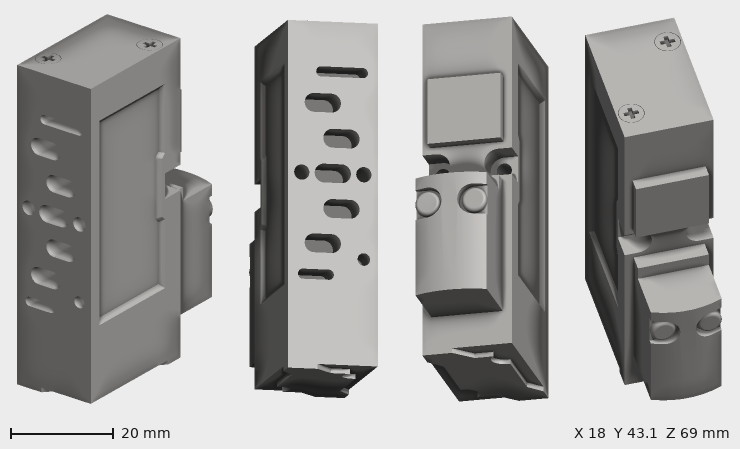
import cadquery as cq
import math


WIDTH = 18.0
DEPTH = 29.0
HEIGHT = 69.0
BASE_TOP = 4.0
PILOT_TOP = 14.0
LID_BOTTOM = 64.0
HALF_WIDTH = WIDTH / 2

PORT_CENTER_Z = 38.9
PORT_PITCH = 7.0
PORT_LENGTH = 7.25
PORT_HEIGHT = 3.7
LEFT_PORT_X = -2.0
RIGHT_PORT_X = 1.7
PORT_DEPTH = 7.0
GROOVE_HEIGHT = 2.0
GROOVE_SPACING = 20.15
TOP_GROOVE_X = 1.85
TOP_GROOVE_LENGTH = 10.35
LOW_GROOVE_X = -3.4
LOW_GROOVE_LENGTH = 7.2
PILOT_PORT_Z = 22.1
PILOT_PORT_DIAMETER = 2.5

MOUNT_X = 6.2
MOUNT_DIAMETER = 3.05
HEAD_RECESS_DIAMETER = 5.5
HEAD_RECESS_DEPTH = 5.05

PANEL_FRONT = 2.75
PANEL_REAR = 23.95
PANEL_BOTTOM = 16.9
PANEL_TOP = 61.05
PANEL_DEPTH = 0.8
PANEL_WALL_RUN = 1.05
PANEL_STEP = 0.9
PANEL_STEP_HALF_HEIGHT = 7.2

PAD_WIDTH = 14.8
PAD_DEPTH = 2.5
PAD_BOTTOM = 43.05
PAD_TOP = 56.5

CONNECTOR_WIDTH = 14.35
CONNECTOR_REAR = 43.05
CONNECTOR_BOTTOM = 7.8
CONNECTOR_TOP = 32.15
CONNECTOR_FACE_RADIUS = 18.0
SHOULDER_DEPTH = 3.1
SHOULDER_TOP = 35.05

KNOB_Z = 26.55
KNOB_RADIUS = 2.5
KNOB_EDGE_RADIUS = 0.7
KNOB_REAR = 42.2
KNOB_X = CONNECTOR_WIDTH / 2 - KNOB_RADIUS
KNOB_RECESS_RADIUS = 3.1
KNOB_RECESS_FLOOR = 40.8

SCREW_DIAMETER = 5.0
SCREW_SEAT_DIAMETER = 5.2
SCREW_DEPTH = 2.5
SCREW_X = 6.0
SCREW_EDGE_DISTANCE = 6.0
SCREW_POINTS = [(-SCREW_X, SCREW_EDGE_DISTANCE), (SCREW_X, DEPTH - SCREW_EDGE_DISTANCE)]
CROSS_LENGTH = 3.0
CROSS_WIDTH = 0.9
CROSS_DEPTH = 1.0

FOOT_HEIGHT = 1.0
FOOT_CORNER_X = 3.05
FOOT_CORNER_Y = 3.85
FOOT_BEND_X = 0.55
FOOT_SIDE_X = 6.5
FOOT_SIDE_Y = 7.05
FOOT_BITE_RADIUS = 2.7


def block(width, front, rear, bottom, top):
    """Box centred on X = 0."""
    return cq.Workplane("XY").box(
        width, rear - front, top - bottom, centered=(True, False, False)
    ).translate((0, front, bottom))


def front_slot(x, z, length, height):
    """Round-ended port going into the front face."""
    return (
        cq.Workplane("XZ").center(x, z).slot2D(length, height).extrude(-PORT_DEPTH)
    )


def side_open_recess(side, x, z, radius, floor, rear):
    """Round-ended recess between two Y values, open toward one side in X."""
    round_end = cq.Workplane("XZ", origin=(x, floor, z)).circle(radius).extrude(floor - rear)
    opening = cq.Workplane("XY").box(
        HALF_WIDTH, rear - floor, 2 * radius, centered=(False, False, True)
    )
    if side < 0:
        opening = opening.translate((-HALF_WIDTH, 0, 0))
    return round_end.union(opening.translate((x, floor, z)))


def side_panel(side):
    """Shallow pocket with sloping walls in one side face."""
    narrow_rear = PANEL_REAR - PANEL_STEP
    step_bottom = PORT_CENTER_Z - PANEL_STEP_HALF_HEIGHT
    step_top = PORT_CENTER_Z + PANEL_STEP_HALF_HEIGHT
    outline = [
        (PANEL_FRONT, PANEL_BOTTOM),
        (PANEL_REAR, PANEL_BOTTOM),
        (PANEL_REAR, step_bottom),
        (narrow_rear, step_bottom + PANEL_STEP),
        (narrow_rear, step_top - PANEL_STEP),
        (PANEL_REAR, step_top),
        (PANEL_REAR, PANEL_TOP),
        (PANEL_FRONT, PANEL_TOP),
    ]
    wall_angle = math.degrees(math.atan2(PANEL_WALL_RUN, PANEL_DEPTH))
    panel = (
        cq.Workplane("YZ", origin=(-HALF_WIDTH, 0, 0))
        .polyline(outline)
        .close()
        .extrude(PANEL_DEPTH, taper=wall_angle)
    )
    return panel.mirror("YZ") if side > 0 else panel


def make_valve_body():
    body = block(WIDTH, 0, DEPTH, PILOT_TOP, LID_BOTTOM)
    body = body.union(block(PAD_WIDTH, DEPTH, DEPTH + PAD_DEPTH, PAD_BOTTOM, PAD_TOP))

    port_xs = [LEFT_PORT_X, RIGHT_PORT_X, 0, RIGHT_PORT_X, LEFT_PORT_X]
    for number, x in enumerate(port_xs):
        z = PORT_CENTER_Z + (number - len(port_xs) // 2) * PORT_PITCH
        body = body.cut(front_slot(x, z, PORT_LENGTH, PORT_HEIGHT))

    top_groove_z = PORT_CENTER_Z + GROOVE_SPACING
    low_groove_z = PORT_CENTER_Z - GROOVE_SPACING
    body = body.cut(front_slot(TOP_GROOVE_X, top_groove_z, TOP_GROOVE_LENGTH, GROOVE_HEIGHT))
    body = body.cut(front_slot(LOW_GROOVE_X, low_groove_z, LOW_GROOVE_LENGTH, GROOVE_HEIGHT))
    pilot_port = cq.Workplane("XZ").center(MOUNT_X, PILOT_PORT_Z).circle(PILOT_PORT_DIAMETER / 2)
    body = body.cut(pilot_port.extrude(-PORT_DEPTH))

    for side in (-1, 1):
        x = side * MOUNT_X
        hole = cq.Workplane("XZ").center(x, PORT_CENTER_Z).circle(MOUNT_DIAMETER / 2).extrude(-DEPTH)
        recess_floor = DEPTH - HEAD_RECESS_DEPTH
        recess = side_open_recess(side, x, PORT_CENTER_Z, HEAD_RECESS_DIAMETER / 2, recess_floor, DEPTH)
        body = body.cut(hole).cut(recess).cut(side_panel(side))
    return body


def make_connector():
    """Connector with an arched rear face, a shoulder above it and two recessed knobs."""
    half = CONNECTOR_WIDTH / 2
    arch_rise = CONNECTOR_FACE_RADIUS - math.sqrt(CONNECTOR_FACE_RADIUS**2 - half**2)
    arch_end = CONNECTOR_REAR - arch_rise
    connector = (
        cq.Workplane("XY", origin=(0, 0, CONNECTOR_BOTTOM))
        .moveTo(-half, DEPTH)
        .lineTo(half, DEPTH)
        .lineTo(half, arch_end)
        .threePointArc((0, CONNECTOR_REAR), (-half, arch_end))
        .close()
        .extrude(CONNECTOR_TOP - CONNECTOR_BOTTOM)
    )
    shoulder = block(CONNECTOR_WIDTH, DEPTH, DEPTH + SHOULDER_DEPTH, CONNECTOR_BOTTOM, SHOULDER_TOP)
    connector = connector.union(shoulder)
    for side in (-1, 1):
        x = side * KNOB_X
        connector = connector.cut(
            side_open_recess(side, x, KNOB_Z, KNOB_RECESS_RADIUS, KNOB_RECESS_FLOOR, CONNECTOR_REAR)
        )
        knob = (
            cq.Workplane("XZ", origin=(x, KNOB_RECESS_FLOOR, KNOB_Z))
            .circle(KNOB_RADIUS)
            .extrude(KNOB_RECESS_FLOOR - KNOB_REAR)
            .faces(">Y")
            .edges()
            .fillet(KNOB_EDGE_RADIUS)
        )
        connector = connector.union(knob)
    return connector


def make_pilot_block():
    return block(WIDTH, 0, DEPTH, BASE_TOP, PILOT_TOP).union(make_connector())


def make_base_plate():
    """Plate whose foot runs diagonally, the same after half a turn about the plate's middle."""
    bite_x = SCREW_X
    bite_y = SCREW_EDGE_DISTANCE
    bite_start_x = bite_x - math.sqrt(FOOT_BITE_RADIUS**2 - (bite_y - FOOT_CORNER_Y) ** 2)
    bite_end_y = bite_y + math.sqrt(FOOT_BITE_RADIUS**2 - (FOOT_SIDE_X - bite_x) ** 2)
    bite_mid = (
        bite_x - FOOT_BITE_RADIUS * math.cos(math.pi / 4),
        bite_y + FOOT_BITE_RADIUS * math.sin(math.pi / 4),
    )

    def turned(x, y):
        return (-x, DEPTH - y)

    foot = (
        cq.Workplane("XY")
        .moveTo(-HALF_WIDTH, 0)
        .lineTo(-FOOT_CORNER_X, 0)
        .lineTo(FOOT_BEND_X, FOOT_CORNER_Y)
        .lineTo(bite_start_x, FOOT_CORNER_Y)
        .threePointArc(bite_mid, (FOOT_SIDE_X, bite_end_y))
        .lineTo(*turned(-FOOT_SIDE_X, FOOT_SIDE_Y))
        .lineTo(*turned(-HALF_WIDTH, FOOT_CORNER_Y))
        .lineTo(*turned(-HALF_WIDTH, 0))
        .lineTo(*turned(-FOOT_CORNER_X, 0))
        .lineTo(*turned(FOOT_BEND_X, FOOT_CORNER_Y))
        .lineTo(*turned(bite_start_x, FOOT_CORNER_Y))
        .threePointArc(turned(*bite_mid), turned(FOOT_SIDE_X, bite_end_y))
        .lineTo(-FOOT_SIDE_X, FOOT_SIDE_Y)
        .lineTo(-HALF_WIDTH, FOOT_CORNER_Y)
        .close()
        .extrude(FOOT_HEIGHT)
    )
    return block(WIDTH, 0, DEPTH, FOOT_HEIGHT, BASE_TOP).union(foot)


def top_cylinder(x, y, diameter):
    """Cylinder as deep as a screw head, ending flush with the top of the lid."""
    return (
        cq.Workplane("XY", origin=(x, y, HEIGHT - SCREW_DEPTH))
        .circle(diameter / 2)
        .extrude(SCREW_DEPTH)
    )


def make_screw(x, y):
    """Flush screw head with a cross recess."""
    cross = (
        cq.Workplane("XY", origin=(x, y, HEIGHT))
        .rect(CROSS_LENGTH, CROSS_WIDTH)
        .extrude(-CROSS_DEPTH)
    )
    cross = cross.union(cross.rotate((x, y, 0), (x, y, 1), 90))
    return top_cylinder(x, y, SCREW_DIAMETER).cut(cross)


def make_lid():
    lid = block(WIDTH, 0, DEPTH, LID_BOTTOM, HEIGHT)
    for x, y in SCREW_POINTS:
        lid = lid.cut(top_cylinder(x, y, SCREW_SEAT_DIAMETER))
    return lid


valve_body = make_valve_body()
pilot_block = make_pilot_block()
base_plate = make_base_plate()
lid = make_lid()
screws = [make_screw(x, y).val() for x, y in SCREW_POINTS]

result = cq.Compound.makeCompound(
    [valve_body.val(), pilot_block.val(), base_plate.val(), lid.val(), *screws]
)